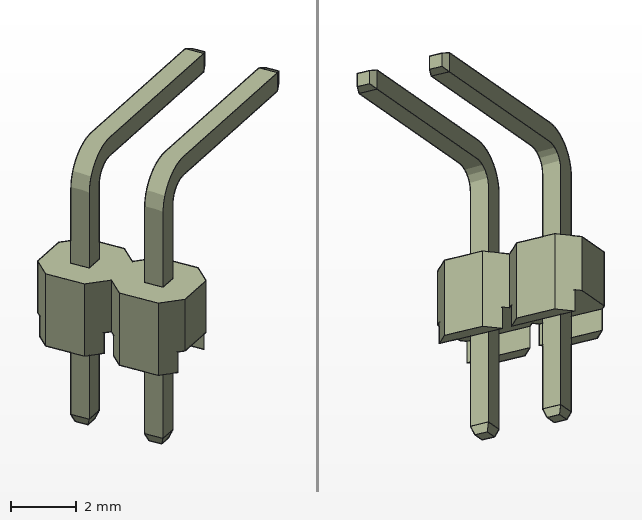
import cadquery as cq

pin_count = 2
pitch = 2.54

housing_height = 2.5
corner_chamfer = 0.6
groove_width = 1.65
groove_depth = 0.71

pin_width = 0.64
pin_drop = 3.0
pin_rise = 3.89
pin_reach = 7.25
bend_inner_radius = 0.68
tip_length = 0.27
tip_width = 0.44

row_length = pin_count * pitch
half_pin = pin_width / 2
bend_radius = bend_inner_radius + half_pin
leg_height = housing_height + pin_rise - half_pin
pin_positions = [(i - (pin_count - 1) / 2) * pitch for i in range(pin_count)]


def make_housing():
    """Row of joined octagonal blocks with a groove along the underside that leaves feet."""
    block = (
        cq.Workplane("XY")
        .box(pitch, pitch, housing_height, centered=(True, True, False))
        .edges("|Z")
        .chamfer(corner_chamfer)
    )
    housing = cq.Workplane("XY")
    for x in pin_positions:
        housing = housing.union(block.translate((x, 0, 0)))
    groove = cq.Workplane("XY").box(row_length, groove_width, groove_depth, centered=(True, True, False))
    return housing.cut(groove)


def make_tip(plane):
    """Tapered pin end, starting at the plane's origin and narrowing along its normal."""
    return (
        cq.Workplane(plane)
        .rect(pin_width, pin_width)
        .workplane(offset=tip_length)
        .rect(tip_width, tip_width)
        .loft(combine=True)
    )


def make_pin():
    """Square wire rising along Z, bent towards +Y, with a tapered tip at each end."""
    tail_z = tip_length - pin_drop
    leg_y = pin_reach - tip_length
    bend_start_z = leg_height - bend_radius
    tail = (
        cq.Workplane("XY", origin=(0, 0, tail_z))
        .rect(pin_width, pin_width)
        .extrude(bend_start_z - tail_z)
    )
    bend = (
        cq.Workplane("XY", origin=(0, 0, bend_start_z))
        .rect(pin_width, pin_width)
        .revolve(90, (0, bend_radius, 0), (-1, bend_radius, 0))
    )
    leg = (
        cq.Workplane("XZ", origin=(0, leg_y, leg_height))
        .rect(pin_width, pin_width)
        .extrude(leg_y - bend_radius)
    )
    tail_tip = make_tip(cq.Plane(origin=(0, 0, tail_z), xDir=(1, 0, 0), normal=(0, 0, -1)))
    leg_tip = make_tip(cq.Plane(origin=(0, leg_y, leg_height), xDir=(1, 0, 0), normal=(0, 1, 0)))
    return tail.union(bend).union(leg).union(tail_tip).union(leg_tip)


result = make_housing()
pin = make_pin()
for x in pin_positions:
    result = result.union(pin.translate((x, 0, 0)))